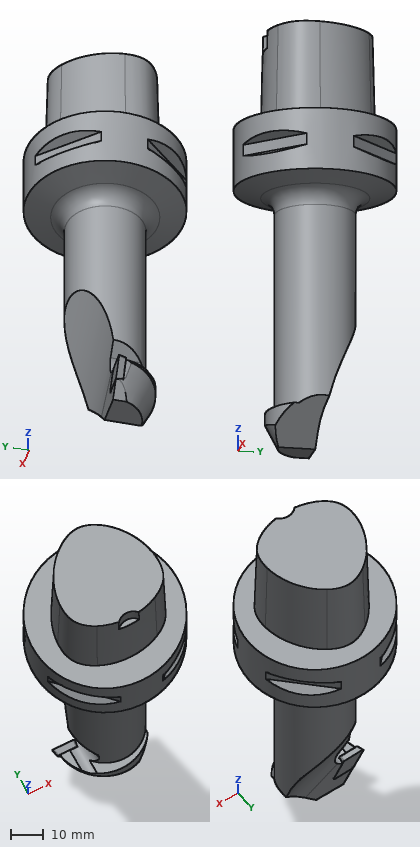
import cadquery as cq
import math


total_height = 131.61
coupling_height = 30.0
tip_z = coupling_height - total_height
large = 2.0 * total_height

lobe_count = 3
coupling_mean_radius = 17.57
coupling_eccentricity = 2.1
coupling_taper = 1.0 / 40.0
lobe_half_angle = math.radians(34)
lobe_pitch = 2 * math.pi / lobe_count
first_lobe_angle = math.radians(90)
points_per_face = 7

notch_radius = 4.6
notch_depth = 5.6
notch_wall_y = -14.0

flange_radius = 25.0
flange_edge_z = -19.4
shank_radius = 12.5
neck_fillet_radius = 5.7
neck_slope = math.radians(15)

groove_center_z = -9.85
groove_floor_distance = 22.1
groove_floor_height = 3.5
groove_wall_angle = math.radians(30)
groove_count = 4
first_groove_angle = 45.0

rake_y = 0.2
head_top_z = -90.2
head_radius = 15.0
head_axis_x = -2.0
cone_tip_radius = 11.4
cone_half_angle = math.radians(27)
back_relief_tip_x = -0.3
back_relief_angle = math.radians(43)
flank_offset = 0.1
seat_relief_top_x = -16.7
seat_relief_bottom_x = -14.4
seat_relief_bottom_z = -95.2
seat_relief_end_z = -96.2

flute_radius = 40.0
flute_tilt = 33.0
flute_tangent_z = -94.4
gullet_radius = 4.15
gullet_center_x = -11.5
gullet_center_z = -86.5

insert_point_angle = 55.0
insert_edge_length = 7.75
insert_thickness = 2.38
insert_clearance = 7.0
insert_nose_radius = 0.4
insert_corner_x = -18.55
insert_corner_z = -89.6
cutting_edge_angle = -57.0


def coupling_point(angle, z):
    """Point of the three-lobed coupling curve at a curve angle and height."""
    radius = coupling_mean_radius - coupling_taper * z
    ecc = coupling_eccentricity
    turn = angle - first_lobe_angle
    toward_lobe = radius * math.cos(turn) + ecc * math.cos(2 * turn) - ecc / 2 * math.cos(4 * turn)
    sideways = radius * math.sin(turn) - ecc * math.sin(2 * turn) - ecc / 2 * math.sin(4 * turn)
    return cq.Vector(-sideways, toward_lobe, z)


def coupling_wire(z):
    """Closed coupling outline of three lobes and three flatter sides."""
    edges = []
    for lobe in range(lobe_count):
        center = first_lobe_angle + lobe * lobe_pitch
        lobe_start = center - lobe_half_angle
        lobe_end = center + lobe_half_angle
        side_end = lobe_start + lobe_pitch
        for start, end in ((lobe_start, lobe_end), (lobe_end, side_end)):
            step = (end - start) / (points_per_face - 1)
            points = [coupling_point(start + i * step, z) for i in range(points_per_face)]
            edges.append(cq.Edge.makeSpline(points))
    return cq.Wire.assembleEdges(edges)


def make_coupling():
    wires = [coupling_wire(0.0), coupling_wire(coupling_height)]
    coupling = cq.Workplane(obj=cq.Solid.makeLoft(wires, True))
    notch = (
        cq.Workplane("XY", origin=(0, notch_wall_y - notch_radius, coupling_height - notch_depth))
        .circle(notch_radius)
        .extrude(large)
    )
    return coupling.cut(notch)


def make_flange_and_shank():
    """Turned profile: flange, sloped underside, neck fillet and straight shank."""
    fillet_x = shank_radius + neck_fillet_radius
    slope_end_x = fillet_x - neck_fillet_radius * math.sin(neck_slope)
    slope_end_z = flange_edge_z - (flange_radius - slope_end_x) * math.tan(neck_slope)
    fillet_z = slope_end_z - neck_fillet_radius * math.cos(neck_slope)
    mid_angle = (math.pi / 2 - neck_slope) / 2
    fillet_mid = (
        fillet_x - neck_fillet_radius * math.cos(mid_angle),
        fillet_z + neck_fillet_radius * math.sin(mid_angle),
    )
    return (
        cq.Workplane("XZ")
        .moveTo(0, 0)
        .lineTo(flange_radius, 0)
        .lineTo(flange_radius, flange_edge_z)
        .lineTo(slope_end_x, slope_end_z)
        .threePointArc(fillet_mid, (shank_radius, fillet_z))
        .lineTo(shank_radius, head_top_z)
        .lineTo(0, head_top_z)
        .close()
        .revolve(360, (0, 0, 0), (0, 1, 0))
    )


def make_groove(angle):
    """Straight flat-floored groove with sloped walls, across the flange rim at one angle."""
    depth = flange_radius - groove_floor_distance
    floor_half = groove_floor_height / 2
    mouth_half = floor_half + depth * math.tan(groove_wall_angle)
    return (
        cq.Workplane("XZ")
        .polyline(
            [
                (groove_floor_distance, groove_center_z - floor_half),
                (flange_radius, groove_center_z - mouth_half),
                (flange_radius, groove_center_z + mouth_half),
                (groove_floor_distance, groove_center_z + floor_half),
            ]
        )
        .close()
        .extrude(flange_radius, both=True)
        .rotate((0, 0, 0), (0, 0, 1), angle)
    )


def make_head():
    """Half disc on the -Y side and the shank's end, both trimmed by a cone about the tool axis."""
    head_height = head_top_z - tip_z
    cone_top_radius = cone_tip_radius + head_height * math.tan(cone_half_angle)
    disc = (
        cq.Workplane("XY", origin=(head_axis_x, 0, tip_z))
        .circle(head_radius)
        .extrude(head_height)
    )
    behind_rake = cq.Workplane("XY", origin=(0, rake_y - large / 2, 0)).box(large, large, large)
    shank_end = cq.Workplane("XY", origin=(0, 0, tip_z)).circle(shank_radius).extrude(head_height)
    cone = cq.Workplane(
        obj=cq.Solid.makeCone(cone_tip_radius, cone_top_radius, head_height, cq.Vector(0, 0, tip_z))
    )
    return disc.intersect(behind_rake).union(shank_end).intersect(cone)


def make_back_relief():
    """Wedge below the sloped back of the tip, on the +X side."""
    rise = large
    run = rise * math.tan(back_relief_angle)
    return (
        cq.Workplane("XZ")
        .polyline(
            [
                (back_relief_tip_x, tip_z),
                (back_relief_tip_x + run, tip_z + rise),
                (back_relief_tip_x + run, tip_z),
            ]
        )
        .close()
        .extrude(flange_radius, both=True)
    )


def make_flank_relief():
    """Space outside the holder's flank, cut deeper beside the insert's seat."""
    edge_slope = math.radians(-cutting_edge_angle)
    flank_x = insert_corner_x + flank_offset / math.sin(edge_slope)
    seat_end_x = flank_x + (insert_corner_z - seat_relief_end_z) / math.tan(edge_slope)
    tip_x = flank_x + (insert_corner_z - tip_z) / math.tan(edge_slope)
    outer_x = head_axis_x - head_radius
    return (
        cq.Workplane("XZ")
        .moveTo(outer_x, head_top_z)
        .lineTo(seat_relief_top_x, head_top_z)
        .lineTo(seat_relief_bottom_x, seat_relief_bottom_z)
        .lineTo(seat_end_x, seat_relief_end_z)
        .lineTo(tip_x, tip_z)
        .lineTo(outer_x, tip_z)
        .close()
        .extrude(flange_radius, both=True)
    )


def make_flute():
    """Chip flute: a tilted concave cylinder running out tangent to the rake face."""
    flute = (
        cq.Workplane("YZ")
        .moveTo(0, 0)
        .threePointArc(
            (
                flute_radius * (1 - math.cos(math.pi / 4)),
                flute_radius * math.sin(math.pi / 4),
            ),
            (flute_radius, flute_radius),
        )
        .lineTo(flute_radius, -flute_radius)
        .lineTo(0, -flute_radius)
        .close()
        .extrude(2 * flange_radius, both=True)
    )
    return flute.rotate((0, 0, 0), (0, 1, 0), flute_tilt).translate((0, rake_y, flute_tangent_z))


def make_gullet():
    """Chip gullet above the insert: it dips into the head's top and has a 45 degree upper side."""
    reach = gullet_radius * math.sqrt(0.5)
    tangent_x = gullet_center_x + reach
    tangent_z = gullet_center_z + reach
    floor_half = math.sqrt(gullet_radius**2 - (gullet_center_z - head_top_z) ** 2)
    outer_x = head_axis_x - head_radius
    return (
        cq.Workplane("XZ")
        .moveTo(gullet_center_x - floor_half, head_top_z)
        .threePointArc((gullet_center_x + gullet_radius, gullet_center_z), (tangent_x, tangent_z))
        .lineTo(outer_x, tangent_z + tangent_x - outer_x)
        .lineTo(outer_x, head_top_z)
        .close()
        .extrude(flange_radius, both=True)
    )


def make_insert():
    """Rhombic plate with its upper face in the rake plane and sides that slope inward behind it."""
    return (
        cq.Workplane("XZ", origin=(insert_corner_x, rake_y, insert_corner_z))
        .polarLine(insert_edge_length, cutting_edge_angle)
        .polarLine(insert_edge_length, cutting_edge_angle + insert_point_angle)
        .polarLine(-insert_edge_length, cutting_edge_angle)
        .close()
        .extrude(insert_thickness, taper=insert_clearance)
        .edges("not #Y")
        .fillet(insert_nose_radius)
    )


def make_holder(insert):
    """Tool holder with its chip spaces, reliefs and a seat that matches the insert."""
    holder = make_flange_and_shank().union(make_coupling()).union(make_head())
    for i in range(groove_count):
        holder = holder.cut(make_groove(first_groove_angle + i * 360 / groove_count))
    holder = holder.cut(make_flute()).cut(make_gullet())
    holder = holder.cut(make_back_relief()).cut(make_flank_relief())
    return holder.cut(insert)


insert = make_insert()
holder = make_holder(insert)

result = cq.Compound.makeCompound([holder.val(), insert.val()])